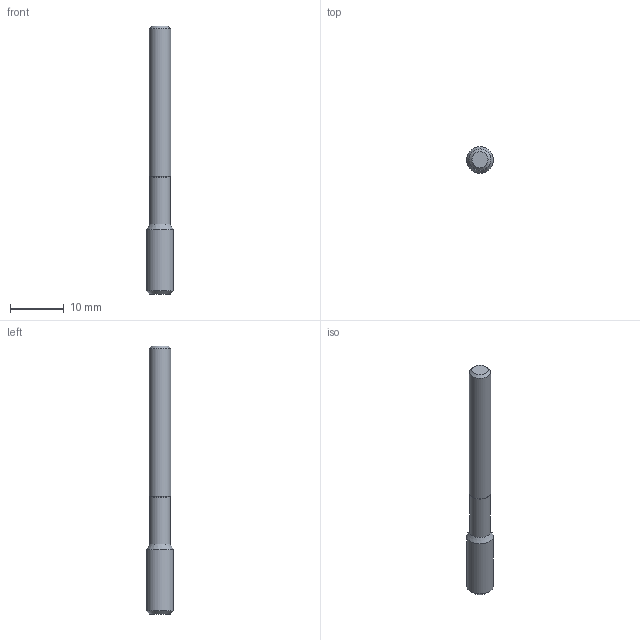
import cadquery as cq
import math

total_length = 50.0
head_diameter = 5.01
shank_diameter = 4.0
neck_diameter = 3.8

head_shoulder_height = 12.0
shank_start_height = 22.0

head_chamfer = 0.6
shank_chamfer = 0.5
shoulder_angle = math.radians(30)

head_radius = head_diameter / 2
shank_radius = shank_diameter / 2
neck_radius = neck_diameter / 2


def shoulder_length(large_radius, small_radius):
    """Axial length of a conical shoulder between two radii."""
    return (large_radius - small_radius) / math.tan(shoulder_angle)


neck_bottom = head_shoulder_height + shoulder_length(head_radius, neck_radius)
neck_top = shank_start_height - shoulder_length(shank_radius, neck_radius)


def turned_pin():
    """Head, neck and shank turned about Z, as (radius, height) points."""
    profile = [
        (0, 0),
        (head_radius - head_chamfer, 0),
        (head_radius, head_chamfer),
        (head_radius, head_shoulder_height),
        (neck_radius, neck_bottom),
        (neck_radius, neck_top),
        (shank_radius, shank_start_height),
        (shank_radius, total_length - shank_chamfer),
        (shank_radius - shank_chamfer, total_length),
        (0, total_length),
    ]
    half_section = cq.Workplane("YZ").polyline(profile).close()
    return half_section.revolve(360, (0, 0, 0), (0, 1, 0))


result = turned_pin()